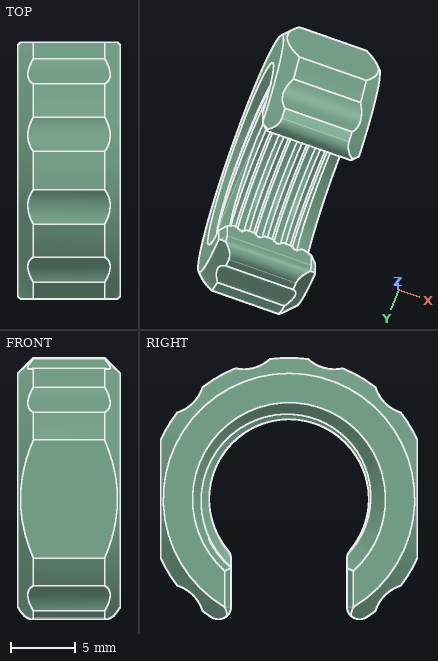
import cadquery as cq
import math

width = 8.0
outer_radius = 11.0
outer_bevel = 1.22
flat_span = 20.0
bore_mouth_radius = 7.5
slot_width = 9.0
edge_fillet = 1.0
slot_chamfer = 0.5

groove_count = 12
groove_radius = 3.0
groove_floor_radius = 10.58

pitch = 1.5
thread_root_radius = 7.0
thread_depth = 0.8
thread_root_width = pitch / 8
thread_flank_angle = 30
thread_sweep = 310
thread_overlap = 0.12
bore_radius = thread_root_radius - thread_depth

half_width = width / 2


def make_ring():
    """Ring section with 45 degree bevels, turned about the X axis."""
    bore_bevel = bore_mouth_radius - bore_radius
    section = (
        cq.Workplane("XY")
        .moveTo(-half_width, bore_mouth_radius)
        .lineTo(-half_width, outer_radius - outer_bevel)
        .lineTo(-half_width + outer_bevel, outer_radius)
        .lineTo(half_width - outer_bevel, outer_radius)
        .lineTo(half_width, outer_radius - outer_bevel)
        .lineTo(half_width, bore_mouth_radius)
        .lineTo(half_width - bore_bevel, bore_radius)
        .lineTo(-half_width + bore_bevel, bore_radius)
        .close()
    )
    return section.revolve(360, (0, 0, 0), (1, 0, 0))


def cut_flats(body):
    """Trim the two sides to parallel flats."""
    return body.intersect(cq.Workplane("XY").box(width, flat_span, 2 * outer_radius))


def cut_slot(body):
    """Open the ring downward, then round and chamfer the edges of the slot."""
    slot = cq.Workplane("XY").box(width, slot_width, outer_radius).translate((0, 0, -outer_radius / 2))
    body = body.cut(slot)
    wall_y = slot_width / 2
    margin = 0.02
    walls = cq.selectors.BoxSelector(
        (-half_width - margin, -wall_y - margin, -outer_radius),
        (half_width + margin, wall_y + margin, 0),
    )
    body = body.edges("|X").edges(walls).fillet(edge_fillet)
    return body.edges("|Z").edges(walls).chamfer(slot_chamfer)


def cut_grooves(body):
    """Cut evenly spaced scallops, straddling the top of the ring."""
    step = 360 / groove_count
    centre_radius = groove_floor_radius + groove_radius
    for index in range(groove_count):
        angle = math.radians((index + 0.5) * step)
        groove = (
            cq.Workplane("YZ", origin=(-half_width, 0, 0))
            .center(centre_radius * math.sin(angle), centre_radius * math.cos(angle))
            .circle(groove_radius)
            .extrude(width)
        )
        body = body.cut(groove)
    return body


def make_thread_turn():
    """One nearly full turn of the thread groove, with both ends in the open slot."""
    root_half = thread_root_width / 2
    inner_half = root_half + (thread_depth + thread_overlap) * math.tan(math.radians(thread_flank_angle))
    inner_radius = bore_radius - thread_overlap
    helix = cq.Wire.makeHelix(pitch, pitch * thread_sweep / 360, thread_root_radius)
    turn = (
        cq.Workplane("XZ")
        .moveTo(thread_root_radius, -root_half)
        .lineTo(thread_root_radius, root_half)
        .lineTo(inner_radius, inner_half)
        .lineTo(inner_radius, -inner_half)
        .close()
        .sweep(cq.Workplane(obj=helix), isFrenet=True)
    )
    turn = turn.rotate((0, 0, 0), (1, 1, 1), 120)
    open_angle = (360 - thread_sweep) / 2
    turn = turn.rotate((0, 0, 0), (1, 0, 0), open_angle - 90)
    return turn.translate((-half_width + pitch * open_angle / 360, 0, 0))


def cut_thread(body):
    """Repeat the thread turn along the bore, running past both faces."""
    turn = make_thread_turn()
    for index in range(-1, math.ceil(width / pitch)):
        body = body.cut(turn.translate((index * pitch, 0, 0)))
    return body


body = cut_flats(make_ring())
body = cut_slot(body)
body = cut_grooves(body)
result = cut_thread(body)